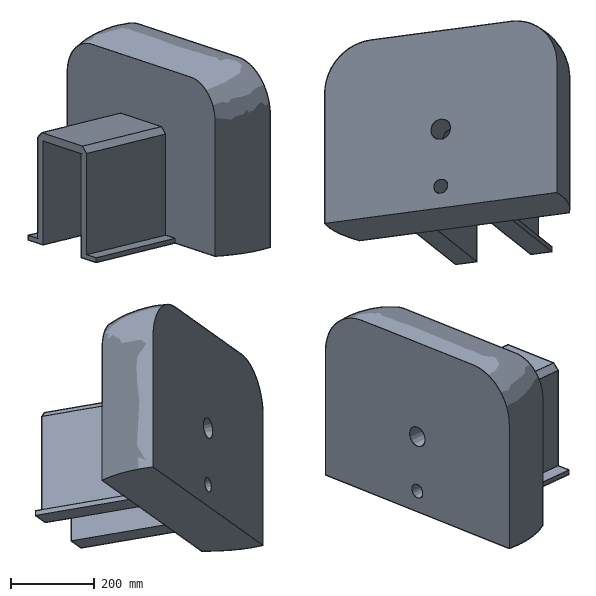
import cadquery as cq

block_depth = 150.0
rear_band_depth = 60.0
rear_width = 601.5
rear_height = 449.5
rear_radius = 120.0
front_width = 543.0
front_height = 428.5
front_radius = 90.0

main_hole_diameter = 50.0
main_hole_height = 200.0
counterbore_diameter = 70.0
counterbore_depth = block_depth / 2
small_hole_diameter = 35.0
small_hole_height = 55.0

channel_length = 250.0
channel_width = 180.0
channel_height = 280.0
wall = 20.0
edge_chamfer = 15.0
foot_span = 250.0
foot_thickness = 12.0

front_plane = cq.Plane.named("XZ")


def block_section(y, width, height, radius):
    """Upright outline at depth y, with a flat bottom and two rounded top corners."""
    half_width = width / 2
    corner_mid = radius * 0.5 ** 0.5
    arc_x = half_width - radius
    arc_z = height - radius
    return (
        cq.Workplane(front_plane)
        .workplane(offset=-y)
        .moveTo(-half_width, 0)
        .lineTo(-half_width, arc_z)
        .threePointArc((-arc_x - corner_mid, arc_z + corner_mid), (-arc_x, height))
        .lineTo(arc_x, height)
        .threePointArc((arc_x + corner_mid, arc_z + corner_mid), (half_width, arc_z))
        .lineTo(half_width, 0)
        .close()
        .val()
    )


def hole_cutter(diameter, height, depth):
    """Cylinder running from the front face into the block."""
    return cq.Workplane(front_plane).center(0, height).circle(diameter / 2).extrude(-depth)


def make_block():
    sections = [
        block_section(block_depth, rear_width, rear_height, rear_radius),
        block_section(block_depth - rear_band_depth, rear_width, rear_height, rear_radius),
        block_section(0, front_width, front_height, front_radius),
    ]
    body = cq.Workplane(cq.Solid.makeLoft(sections))
    body = body.cut(hole_cutter(main_hole_diameter, main_hole_height, block_depth))
    body = body.cut(hole_cutter(counterbore_diameter, main_hole_height, counterbore_depth))
    return body.cut(hole_cutter(small_hole_diameter, small_hole_height, block_depth))


def upright_bar(width, height):
    """Bar standing on Z = 0 that runs the length of the channel."""
    return cq.Workplane(front_plane).center(0, height / 2).rect(width, height).extrude(channel_length)


def make_channel():
    cover = upright_bar(channel_width, channel_height)
    cover = cover.edges("|Y and >Z").chamfer(edge_chamfer)
    feet = upright_bar(foot_span, foot_thickness)
    opening = upright_bar(channel_width - 2 * wall, channel_height - wall)
    return cover.union(feet).cut(opening)


block = make_block()
channel = make_channel()

result = cq.Compound.makeCompound([block.solids().val(), channel.solids().val()])